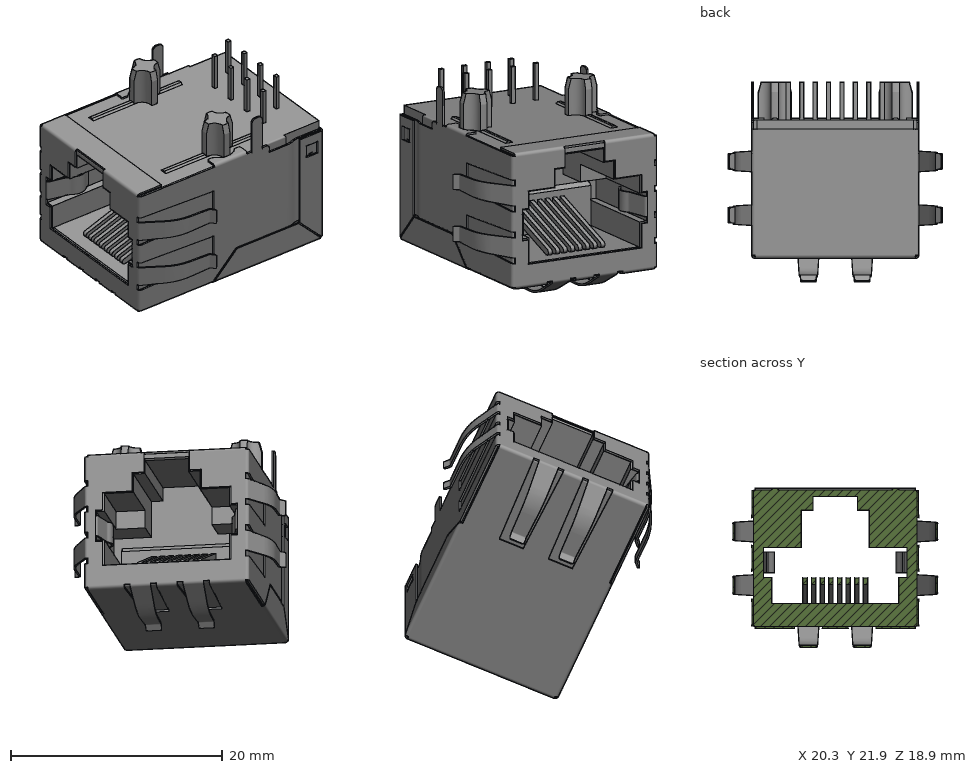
import cadquery as cq
import math


width = 15.85
depth = 21.85
height = 13.3
sheet = 0.17
bend_outer = 0.33
bend_inner = bend_outer - sheet
bend_middle = bend_outer - sheet / 2
half_width = width / 2
bend_start = half_width - bend_outer
overall_width = 20.3
overall_height = 18.94
spring_reach = (overall_width - width) / 2
top_of_pins = overall_height - spring_reach
clear = 1.1

jog_start = 17.52
jog_length = 1.62
jog_offset = 0.33
rear_top = 12.25

wall_top = 13.08
wall_bottom = height - wall_top
strip_depth = 2.88
wall_shoulder_y = 15.42
wall_shoulder_bevel = 0.22
flap_front = 19.05

clip_y = 10.9
clip_half_length = 1.92
clip_inner_x = 6.73
clip_corner = 0.13

board_tab_y = 13.98
board_tab_width = 1.2
board_tab_round = 0.44
board_tab_root = 10.92

gusset_top = 2.86
gusset_front = 11.6
gusset_rear = 18.87
gusset_gap = 0.13

spring_spacing = 5.09
spring_root_width = 1.99
spring_tip_width = 1.49
spring_tip_round = 0.26
spring_lean = 29.0
spring_curve = 5.02
spring_rise = 1.65
spring_straight_end = 6.99
spring_kink_radius = 0.22
spring_kink_angle = 45.0
window_root_width = 3.1
window_end_width = 2.47
window_length = 8.85

opening_bottom = 2.32
wing_bottom = 4.7
opening_steps = [(6.81, 7.78), (6.18, 9.48), (3.32, 11.3), (2.18, height + clear)]
opening_half = 6.18
opening_depth = 0.25

side_contact_bottom = 5.26
side_contact_top = 7.25
side_contact_fold_x = 6.92
side_contact_lean = 13.0
side_contact_lean_end_x = 6.22
side_contact_bulge = [(6.1, 2.55), (6.1, 4.08), (6.31, 4.41)]
side_contact_end = (6.45, 4.67)

latch_hole_y = (19.79, 21.15)
latch_hole_z = (9.94, 11.25)
latch_tip_y = 19.87
latch_root_y = 20.77
latch_height = 0.22
latch_margin = 0.09

body_top = height - sheet
body_rear_half = half_width - sheet - jog_offset

cavity_bottom = 2.38
cavity_half = 6.0
cavity_wing_bottom = 4.85
cavity_steps = [(6.8, 7.67), (cavity_half, 9.4), (3.2, 11.18), (2.1, 12.5)]
cavity_depth = 9.9
ledge_bottom = 6.3
ledge_size = 0.4
stop_face_y = 6.55
lead_in = 0.15
sill_drop = cavity_bottom - opening_bottom

contact_count = 8
contact_span = 5.72
contact_pitch = contact_span / (contact_count - 1)
contact_width = 0.44
contact_thickness = 0.61
contact_slope = 19.5
contact_tip_y = 1.95
contact_tip_z = 2.66
contact_embed = 0.1

pin_count = 8
pin_span = 8.89
pin_pitch = pin_span / (pin_count - 1)
pin_overlap = 0.22
pin_size = (0.41, 0.35)
pin_rows = (19.8, 17.28)

post_x = 5.72
post_radius = 1.57
post_arm_half = 0.35
post_flute_radius = 0.95
post_taper = (0.96, 0.26)
clip_clearance_radius = 1.62

rib_base_half = 0.37
rib_top_half = 0.17
rib_y = (4.52, 15.05)


def block(x, y, z):
    """Box from three (low, high) ranges."""
    size = (x[1] - x[0], y[1] - y[0], z[1] - z[0])
    return cq.Workplane("XY").box(*size, centered=False).translate((x[0], y[0], z[0]))


def both_sides(solid):
    """A feature on the +X side together with its mirror image."""
    return solid.union(solid.mirror("YZ"))


def plain_box(inset):
    """The outer block shrunk by `inset` on every side."""
    return block(
        (-half_width + inset, half_width - inset),
        (inset, depth - inset),
        (inset, height - inset),
    )


def stepped_prism(bottom, base_half, base_top, steps, y_start, y_end):
    """Symmetric stepped opening: a base, then one (half width, top) pair per step."""
    right = [(base_half, bottom), (base_half, base_top)]
    level = base_top
    for half, top in steps:
        right += [(half, level), (half, top)]
        level = top
    left = [(-x, z) for x, z in reversed(right)]
    outline = cq.Workplane("XZ", origin=(0, y_start, 0)).polyline(right + left).close()
    return outline.extrude(y_start - y_end)


def spring_side_outline(root_width, end_width, y_end):
    """Tapered outline in the YZ plane, widest at the front face."""
    return (
        cq.Workplane("YZ", origin=(-bend_outer, 0, 0))
        .polyline(
            [
                (0, -root_width / 2),
                (y_end, -end_width / 2),
                (y_end, end_width / 2),
                (0, root_width / 2),
            ]
        )
        .close()
    )


def spring_window():
    """Tapered window around a spring finger; X = 0 is the outer face of the wall."""
    return spring_side_outline(window_root_width, window_end_width, window_length).extrude(2 * bend_outer)


def spring_finger():
    """Finger that leaves the front face, leans outward, straightens and ends in a kink."""
    lean = math.radians(spring_lean)
    kink = math.radians(spring_kink_angle)
    middle = sheet / 2

    start = (-bend_outer, middle)
    bend_end = (
        -bend_outer + bend_middle * math.cos(lean),
        bend_outer - bend_middle * math.sin(lean),
    )
    curve_start_x = spring_rise - spring_curve * (1 - math.cos(lean))
    curve_start = (curve_start_x, bend_end[1] + (curve_start_x - bend_end[0]) / math.tan(lean))
    curve_end = (spring_rise, curve_start[1] + spring_curve * math.sin(lean))
    kink_start = (spring_rise, spring_straight_end)
    kink_end = (
        spring_rise + spring_kink_radius * (1 - math.cos(kink)),
        spring_straight_end + spring_kink_radius * math.sin(kink),
    )
    tip_x = spring_reach - middle * math.cos(kink)
    tip = (tip_x, kink_end[1] + (tip_x - kink_end[0]) / math.tan(kink))

    path = (
        cq.Workplane("XY")
        .moveTo(start[0] - sheet, middle)
        .lineTo(*start)
        .tangentArcPoint(bend_end, relative=False)
        .lineTo(*curve_start)
        .tangentArcPoint(curve_end, relative=False)
        .lineTo(*kink_start)
        .tangentArcPoint(kink_end, relative=False)
        .lineTo(*tip)
    )
    strip = (
        cq.Workplane("YZ", origin=(start[0] - sheet, middle, 0))
        .rect(sheet, spring_root_width + clear)
        .sweep(path)
    )
    tip_y = tip[1] + middle * math.sin(kink)
    outline = (
        spring_side_outline(spring_root_width, spring_tip_width, tip_y)
        .extrude(bend_outer + spring_reach + clear)
        .edges("|X and >Y")
        .fillet(spring_tip_round)
    )
    half_root = spring_root_width / 2
    root = block((-bend_outer - clear, -bend_outer), (0, sheet), (-half_root, half_root))
    outline = outline.union(root)
    return strip.intersect(outline)


def placed_springs(feature):
    """Copies of a finger or window: two on each side wall and two on the underside."""
    copies = []
    for offset in (-spring_spacing / 2, spring_spacing / 2):
        copies.append(feature.translate((half_width, 0, height / 2 + offset)))
        turned = feature.rotate((0, 0, 0), (0, 1, 0), 180)
        copies.append(turned.translate((-half_width, 0, height / 2 + offset)))
        lowered = feature.rotate((0, 0, 0), (0, 1, 0), 90)
        copies.append(lowered.translate((offset, 0, 0)))
    return copies


def top_trim():
    """Everything above the side walls except the front strip and the two side clips."""
    trim = block((-width, width), (-clear, depth + clear), (wall_top, height + clear))
    trim = trim.cut(block((-bend_start, bend_start), (-clear, strip_depth), (0, height + clear)))
    clip = (
        block(
            (clip_inner_x, width),
            (clip_y - clip_half_length, clip_y + clip_half_length),
            (0, height + clear),
        )
        .edges("|Z and <X")
        .fillet(clip_corner)
    )
    clearance = (
        cq.Workplane("XY")
        .center(post_x, clip_y)
        .circle(clip_clearance_radius)
        .extrude(height + clear)
    )
    trim = trim.cut(both_sides(clip.cut(clearance)))
    rear = (
        cq.Workplane("YZ", origin=(-width, 0, 0))
        .polyline(
            [
                (depth + clear, rear_top),
                (wall_shoulder_y, rear_top),
                (wall_shoulder_y, wall_top - wall_shoulder_bevel),
                (wall_shoulder_y - wall_shoulder_bevel, wall_top),
                (depth + clear, wall_top),
            ]
        )
        .close()
        .extrude(2 * width)
    )
    return trim.union(rear)


def gusset_slit():
    """Slit on the +X wall around the trapezoid that is folded up from the underside."""
    foot = gusset_top + clear
    corners = [
        (gusset_front - foot, -clear),
        (gusset_front, gusset_top),
        (gusset_rear, gusset_top),
        (gusset_rear + foot, -clear),
    ]
    trapezoid = cq.Workplane("YZ", origin=(bend_start, 0, 0)).polyline(corners).close()
    outer = trapezoid.offset2D(gusset_gap, "intersection").extrude(bend_outer + clear)
    inner = cq.Workplane("YZ", origin=(bend_start, 0, 0)).polyline(corners).close()
    return outer.cut(inner.extrude(bend_outer + clear))


def corner_reliefs():
    """Material missing on the +X side where folds meet or a wall meets the underside."""
    outside = (bend_start, half_width + clear)
    gusset_foot = gusset_front - gusset_top
    lower_edge = block(outside, (-clear, gusset_foot), (-clear, wall_bottom))
    rear_corner = block(outside, (depth - bend_outer, depth + clear), (-clear, bend_outer))
    return lower_edge.union(rear_corner)


def jogged_wall():
    """Rear end of the +X wall: steps inward, runs under the flap and carries a latch."""
    outer_line = half_width - sheet / 2
    inner_line = outer_line - jog_offset
    start = (outer_line, jog_start - sheet)
    path = (
        cq.Workplane("XY")
        .moveTo(*start)
        .lineTo(outer_line, jog_start)
        .tangentArcPoint((outer_line - jog_offset / 2, jog_start + jog_length / 2), relative=False)
        .tangentArcPoint((inner_line, jog_start + jog_length), relative=False)
        .lineTo(inner_line, depth - bend_outer)
    )
    bottom = gusset_top + gusset_gap
    strip = (
        cq.Workplane("XZ", origin=(*start, (bottom + rear_top) / 2))
        .rect(sheet, rear_top - bottom)
        .sweep(path)
    )
    latch_x = inner_line + sheet / 2
    latch_low = latch_hole_z[0] + latch_margin
    latch_high = latch_hole_z[1] - latch_margin
    latch = (
        cq.Workplane("XY", origin=(0, 0, latch_low))
        .polyline(
            [
                (inner_line, latch_tip_y),
                (latch_x + latch_height, latch_tip_y),
                (latch_x, latch_root_y),
                (inner_line, latch_root_y),
            ]
        )
        .close()
        .extrude(latch_high - latch_low)
    )
    return strip.union(latch)


def side_contact():
    """Ribbon folded in from the edge of the front opening, with a bulge toward the plug."""
    lean = math.radians(side_contact_lean)
    start_x = side_contact_fold_x + sheet
    fold_end = (
        side_contact_fold_x - bend_middle * math.cos(lean),
        bend_outer - bend_middle * math.sin(lean),
    )
    lean_end_y = fold_end[1] + (fold_end[0] - side_contact_lean_end_x) / math.tan(lean)
    path = (
        cq.Workplane("XY")
        .moveTo(start_x, sheet / 2)
        .lineTo(side_contact_fold_x, sheet / 2)
        .tangentArcPoint(fold_end, relative=False)
        .lineTo(side_contact_lean_end_x, lean_end_y)
    )
    for point in side_contact_bulge:
        path = path.tangentArcPoint(point, relative=False)
    path = path.lineTo(*side_contact_end)
    middle_z = (side_contact_bottom + side_contact_top) / 2
    return (
        cq.Workplane("YZ", origin=(start_x, sheet / 2, middle_z))
        .rect(sheet, side_contact_top - side_contact_bottom)
        .sweep(path)
    )


def board_tab():
    """Upright tongue on the +X wall that is soldered into the board."""
    return (
        block(
            (half_width - sheet, half_width),
            (board_tab_y - board_tab_width / 2, board_tab_y + board_tab_width / 2),
            (board_tab_root, top_of_pins),
        )
        .edges("|X and >Z")
        .fillet(board_tab_round)
    )


def make_shield():
    """Folded shell with its openings, then the strips and tabs that stand off it."""
    outside_form = plain_box(0).edges().fillet(bend_outer)
    inside_form = plain_box(sheet).edges().fillet(bend_inner)
    shell = outside_form.cut(inside_form)
    shell = shell.cut(top_trim())
    shell = shell.cut(both_sides(corner_reliefs()))
    shell = shell.cut(both_sides(gusset_slit()))
    outside = (bend_start, half_width + clear)
    jog_gap = block(outside, (jog_start, flap_front), (gusset_top + gusset_gap, height))
    latch_hole = block(outside, latch_hole_y, latch_hole_z)
    shell = shell.cut(both_sides(jog_gap.union(latch_hole)))
    shell = shell.cut(
        stepped_prism(opening_bottom, opening_half, wing_bottom, opening_steps, -clear, opening_depth)
    )
    for window in placed_springs(spring_window()):
        shell = shell.cut(window)
    for finger in placed_springs(spring_finger()):
        shell = shell.union(finger)
    for feature in (jogged_wall(), side_contact(), board_tab()):
        shell = shell.union(both_sides(feature))
    return shell


def mouth_bevel(half, level, rise):
    """Wedge that widens the mouth of the cavity by `rise` at a horizontal edge."""
    return (
        cq.Workplane("YZ", origin=(-half, 0, 0))
        .polyline([(sheet, level), (sheet, level + rise), (sheet + lead_in, level)])
        .close()
        .extrude(2 * half)
    )


def plug_cavity():
    """Stepped plug opening with shoulder stops and a bevelled ledge above the contacts."""
    cavity = stepped_prism(
        cavity_bottom, cavity_half, cavity_wing_bottom, cavity_steps, sheet, cavity_depth
    )
    wing_top = cavity_steps[0][1]
    shoulder_half, shoulder_top = cavity_steps[1]
    latch_half = cavity_steps[2][0]
    stop = block((latch_half, shoulder_half), (stop_face_y, cavity_depth), (wing_top, shoulder_top))
    cavity = cavity.cut(both_sides(stop))

    ledge_front = cavity_depth - ledge_size
    contact_block = (
        cq.Workplane("YZ", origin=(-cavity_half, 0, 0))
        .polyline(
            [
                (ledge_front, 0),
                (ledge_front, ledge_bottom),
                (cavity_depth, ledge_bottom + ledge_size),
                (cavity_depth, 0),
            ]
        )
        .close()
        .extrude(2 * cavity_half)
    )
    cavity = cavity.cut(contact_block)

    top_half, cavity_top = cavity_steps[-1]
    top_bevel = mouth_bevel(top_half, cavity_top, lead_in)
    bottom_bevel = mouth_bevel(cavity_half, cavity_bottom, -sill_drop)
    return cavity.union(top_bevel).union(bottom_bevel)


def side_contact_seat():
    """Clearance in the housing for the fold of the shield's +X side contact."""
    return block(
        (cavity_half, side_contact_fold_x + sheet),
        (sheet, bend_outer),
        (side_contact_bottom, side_contact_top),
    )


def contact_wire():
    """Sloping contact with a rounded tip on the cavity floor."""
    slope = math.radians(contact_slope)
    run = cavity_depth + contact_embed - contact_tip_y
    middle = (contact_tip_y + run / 2, contact_tip_z + run / 2 * math.tan(slope))
    return (
        cq.Workplane("YZ")
        .center(*middle)
        .slot2D(run / math.cos(slope) + contact_thickness, contact_thickness, contact_slope)
        .extrude(contact_width / 2, both=True)
    )


def board_pin():
    """Rectangular pin that stands on the board side of the housing."""
    return (
        cq.Workplane("XY", origin=(0, 0, body_top - pin_overlap))
        .rect(*pin_size)
        .extrude(top_of_pins - body_top + pin_overlap)
    )


def locating_post():
    """Round post with a tapered top and four concave flutes that leave a cross."""
    post_height = top_of_pins - body_top
    post = cq.Workplane("XY").circle(post_radius).extrude(post_height)
    post = post.faces(">Z").edges().chamfer(*post_taper)
    far = post_radius + clear
    flute = block((post_arm_half, far), (post_arm_half, far), (0, post_height))
    flute = flute.edges("|Z and <X and <Y").fillet(post_flute_radius)
    for quarter in range(4):
        post = post.cut(flute.rotate((0, 0, 0), (0, 0, 1), 90 * quarter))
    return post.translate((post_x, clip_y, body_top))


def standoff_rib():
    """Bevelled rib that runs lengthwise through the post."""
    profile = [
        (post_x - rib_base_half, body_top),
        (post_x - rib_top_half, height),
        (post_x + rib_top_half, height),
        (post_x + rib_base_half, body_top),
    ]
    outline = cq.Workplane("XZ", origin=(0, rib_y[0], 0)).polyline(profile).close()
    return outline.extrude(rib_y[0] - rib_y[1])


def make_housing():
    """Moulded block with the plug cavity, contacts, board pins, ribs and posts."""
    body = plain_box(sheet).edges("not (>Y and >Z)").fillet(bend_inner)
    rear_step = block((body_rear_half, width), (jog_start, depth), (0, height))
    body = body.cut(both_sides(rear_step))
    body = body.cut(plug_cavity())
    body = body.cut(both_sides(side_contact_seat()))
    for index in range(contact_count):
        x = (index - (contact_count - 1) / 2) * contact_pitch
        body = body.union(contact_wire().translate((x, 0, 0)))
    for index in range(pin_count):
        x = (index - (pin_count - 1) / 2) * pin_pitch
        body = body.union(board_pin().translate((x, pin_rows[index % 2], 0)))
    for feature in (standoff_rib(), locating_post()):
        body = body.union(both_sides(feature))
    return body


housing = make_housing()
shield = make_shield()

result = cq.Compound.makeCompound([housing.solids().val(), shield.solids().val()])